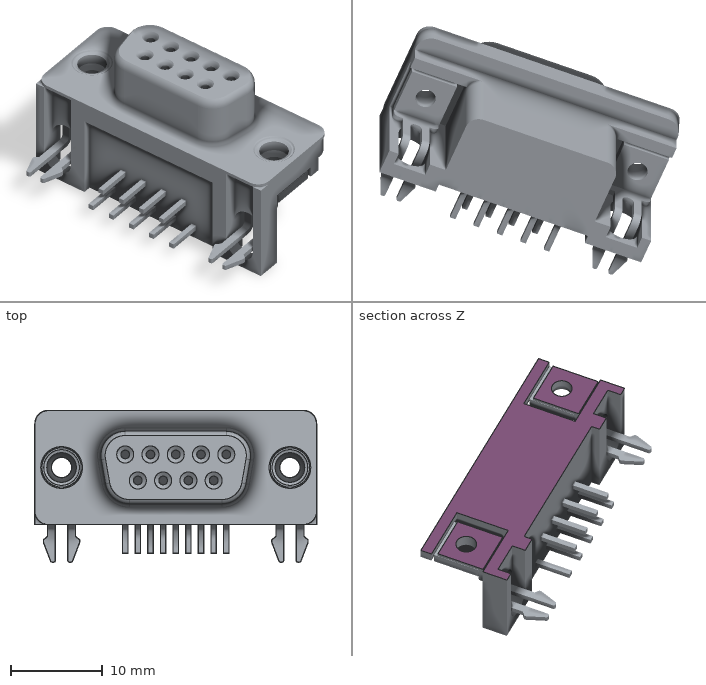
import cadquery as cq
import math


FLANGE_LENGTH = 30.8
FLANGE_WIDTH = 12.5
FLANGE_THICKNESS = 0.4
FLANGE_CORNER = 1.5
HALF_LENGTH = FLANGE_LENGTH / 2
FRONT_Y = -FLANGE_WIDTH / 2
BACK_Y = FLANGE_WIDTH / 2
BOTTOM_Z = -12.4
RIM_BOTTOM_Z = -2.45
RIM_CORNER = 1.8
WING_BOTTOM_Z = -2.95
WING_BACK_Y = 4.15
WALL_BACK_Y = -3.3
LEG_WIDTH = 1.33
LEG_BOTTOM_Z = -4.25
RECESS_LENGTH = 17.55
BODY_LENGTH = RECESS_LENGTH
BODY_CORNER = 1.5
RECESS_TOP_Z = -2.5
RECESS_DEPTH = 0.95

SHELL_HEIGHT = 6.02
SHELL_HALF_WIDTH = 3.96
SHELL_MID_HALF_LENGTH = 7.98
SHELL_SIDE_ANGLE = 10
SHELL_CORNER = 2.65
SHELL_FOOT_RADIUS = 0.37
SHELL_RIM_RADIUS = 1.25
SHELL_RIM_HEIGHT = 0.97

BACK_ROW_COUNT = 5
FRONT_ROW_COUNT = 4
CONTACT_PITCH = 2.76
CONTACT_ROW_OFFSET = 1.42
CONTACT_MOUTH_RADIUS = 0.93
CONTACT_BORE_RADIUS = 0.47
CONTACT_MOUTH_DEPTH = 0.5
CONTACT_DEPTH = 5.0
PIN_WIDTH = 0.62
PIN_THICKNESS = 0.6
PIN_REACH = 3.12

SCREW_X = 12.47
SCREW_RIM_RADIUS = 2.28
SCREW_LIP_RADIUS = 2.15
SCREW_LIP_DEPTH = 0.1
SCREW_SINK_RADIUS = 1.95
SCREW_BORE_RADIUS = 1.62
SCREW_BORE_TOP_Z = -0.28
SCREW_BORE_BOTTOM_Z = -1.47
SCREW_HOLE_RADIUS = 1.1

GROOVE_WIDTH = 3.68
GROOVE_DEPTH = 1.55
WINDOW_TOP_Z = -5.97
WINDOW_BOTTOM_Z = -11.4

SHEET = 0.58
CLIP_WIDTH = 5.2
NUT_WIDTH = 5.27
CLIP_BACK_Y = 2.25
CLIP_BEND = 0.5
CLIP_SHOULDER_Z = -5.53
CLIP_SHOULDER_RADIUS = 0.6
NUT_BOTTOM_Z = -4.57
FORK_Z = -9.5
FORK_HALF_WIDTH = 1.54
FORK_GAP = 1.33
FORK_SLOT_TOP_Z = -5.95
FORK_BEND = 0.52
BARB_HALF_WIDTH = 2.0
BARB_START = 1.28
BARB_SHOULDER = 1.65
BARB_END = 1.9
PRONG_REACH = 4.1
TIP_WIDTH = 0.5
TIP_ROUND = 0.22


def block(x0, x1, y0, y1, z0, z1):
    """Box between two opposite corners."""
    return cq.Workplane("XY").box(x1 - x0, y1 - y0, z1 - z0, centered=False).translate((x0, y0, z0))


def mirror_pair(shape):
    """The shape together with its mirror image across the YZ plane."""
    return shape.union(shape.mirror("YZ"))


def make_housing():
    flange = block(-HALF_LENGTH, HALF_LENGTH, FRONT_Y, BACK_Y, -FLANGE_THICKNESS, 0)
    flange = flange.edges("|Z").fillet(FLANGE_CORNER)
    rim = block(-HALF_LENGTH, HALF_LENGTH, FRONT_Y, BACK_Y, RIM_BOTTOM_Z, -FLANGE_THICKNESS)
    rim = rim.edges("|Z and >Y").fillet(RIM_CORNER)
    wings = block(-HALF_LENGTH, HALF_LENGTH, FRONT_Y, WING_BACK_Y, WING_BOTTOM_Z, RIM_BOTTOM_Z)
    legs = block(-HALF_LENGTH, HALF_LENGTH, FRONT_Y, WALL_BACK_Y, BOTTOM_Z, WING_BOTTOM_Z)
    back_rail = block(
        -HALF_LENGTH, HALF_LENGTH, WING_BACK_Y - LEG_WIDTH, WING_BACK_Y, LEG_BOTTOM_Z, WING_BOTTOM_Z
    )
    body = block(-BODY_LENGTH / 2, BODY_LENGTH / 2, WALL_BACK_Y, WING_BACK_Y, BOTTOM_Z, WING_BOTTOM_Z)
    body = body.edges("|Z and >Y").fillet(BODY_CORNER)
    recess = block(
        -RECESS_LENGTH / 2, RECESS_LENGTH / 2, FRONT_Y, FRONT_Y + RECESS_DEPTH, BOTTOM_Z, RECESS_TOP_Z
    )
    return flange.union(rim).union(wings).union(legs).union(back_rail).union(body).cut(recess)


def shell_outline():
    """D outline: a trapezoid, wide side at +Y, to be extruded and rounded."""
    flare = SHELL_HALF_WIDTH * math.tan(math.radians(SHELL_SIDE_ANGLE))
    wide = SHELL_MID_HALF_LENGTH + flare
    narrow = SHELL_MID_HALF_LENGTH - flare
    corners = [
        (-wide, SHELL_HALF_WIDTH),
        (wide, SHELL_HALF_WIDTH),
        (narrow, -SHELL_HALF_WIDTH),
        (-narrow, -SHELL_HALF_WIDTH),
    ]
    return cq.Workplane("XY").polyline(corners).close()


def add_shell(housing):
    """Add the D shell; its rim rounding is cut off flat before it turns fully level."""
    rounded_height = SHELL_HEIGHT - SHELL_RIM_HEIGHT + SHELL_RIM_RADIUS
    shell = shell_outline().extrude(rounded_height).edges("|Z").fillet(SHELL_CORNER)
    shell = shell.faces(">Z").edges().fillet(SHELL_RIM_RADIUS)
    shell = shell.intersect(block(-HALF_LENGTH, HALF_LENGTH, FRONT_Y, BACK_Y, 0, SHELL_HEIGHT))
    joined = housing.union(shell)
    reach_x = SCREW_X - SCREW_RIM_RADIUS
    reach_y = SHELL_HALF_WIDTH + SHELL_FOOT_RADIUS
    foot = cq.selectors.BoxSelector(
        (-reach_x, -reach_y, -FLANGE_THICKNESS / 2), (reach_x, reach_y, FLANGE_THICKNESS / 2)
    )
    return joined.edges(foot).fillet(SHELL_FOOT_RADIUS)


def row_positions(count):
    """X positions of a centred row of contacts."""
    return [(i - (count - 1) / 2) * CONTACT_PITCH for i in range(count)]


def contact_hole(x, y):
    profile = [
        (0, 0),
        (CONTACT_MOUTH_RADIUS, 0),
        (CONTACT_BORE_RADIUS, -CONTACT_MOUTH_DEPTH),
        (CONTACT_BORE_RADIUS, -CONTACT_DEPTH),
        (0, -CONTACT_DEPTH),
    ]
    hole = cq.Workplane("XZ").polyline(profile).close().revolve(360, (0, 0), (0, 1))
    return hole.translate((x, y, SHELL_HEIGHT))


def solder_pin(x, z):
    half_width = PIN_WIDTH / 2
    half_thickness = PIN_THICKNESS / 2
    root_y = FRONT_Y + RECESS_DEPTH
    return block(
        x - half_width, x + half_width, FRONT_Y - PIN_REACH, root_y, z - half_thickness, z + half_thickness
    )


def add_contacts(part):
    """Back-row contacts pair with the pins below the fork height, front-row ones with those above."""
    for count, side in ((BACK_ROW_COUNT, 1), (FRONT_ROW_COUNT, -1)):
        for x in row_positions(count):
            part = part.cut(contact_hole(x, side * CONTACT_ROW_OFFSET))
            part = part.union(solder_pin(x, FORK_Z - side * CONTACT_ROW_OFFSET))
    return part


def lock_window():
    """Round-ended window through the wall, a groove above it in front and one below it behind."""
    radius = GROOVE_WIDTH / 2
    low_z = WINDOW_BOTTOM_Z + radius
    groove_floor_y = FRONT_Y + GROOVE_DEPTH
    window_height = WINDOW_TOP_Z - WINDOW_BOTTOM_Z
    window = (
        cq.Workplane("XZ", origin=(SCREW_X, WALL_BACK_Y, (WINDOW_TOP_Z + WINDOW_BOTTOM_Z) / 2))
        .slot2D(window_height, GROOVE_WIDTH, 90)
        .extrude(WALL_BACK_Y - FRONT_Y)
    )
    groove = block(
        SCREW_X - radius, SCREW_X + radius, FRONT_Y, groove_floor_y, low_z, -FLANGE_THICKNESS
    )
    back_groove = block(
        SCREW_X - radius, SCREW_X + radius, groove_floor_y, WALL_BACK_Y, BOTTOM_Z, low_z
    )
    return window.union(groove).union(back_groove)


def clip_sheet():
    """Sheet strip bent from under the wing, down the front wall."""
    outline = [
        (CLIP_BACK_Y, WING_BOTTOM_Z),
        (WALL_BACK_Y, WING_BOTTOM_Z),
        (WALL_BACK_Y, CLIP_SHOULDER_Z),
        (WALL_BACK_Y + SHEET, CLIP_SHOULDER_Z),
        (WALL_BACK_Y + SHEET, WING_BOTTOM_Z - SHEET),
        (CLIP_BACK_Y, WING_BOTTOM_Z - SHEET),
    ]
    strip = cq.Workplane("YZ").polyline(outline).close().extrude(CLIP_WIDTH / 2, both=True)
    strip = strip.edges("|X and >Z and <Y").fillet(CLIP_BEND)
    return strip.edges("|Y and <Z").fillet(CLIP_SHOULDER_RADIUS)


def clip_fork():
    """Narrow strip that bends forward into two legs, split by a round-topped slot."""
    inner_y = WALL_BACK_Y + SHEET
    top_z = FORK_Z + SHEET / 2
    bottom_z = FORK_Z - SHEET / 2
    bend_z = top_z + FORK_BEND
    bend_y = WALL_BACK_Y - FORK_BEND
    outer_bend = FORK_BEND + SHEET
    diagonal = math.sqrt(0.5)
    strip = (
        cq.Workplane("YZ")
        .moveTo(WALL_BACK_Y, CLIP_SHOULDER_Z)
        .lineTo(WALL_BACK_Y, bend_z)
        .threePointArc((bend_y + FORK_BEND * diagonal, bend_z - FORK_BEND * diagonal), (bend_y, top_z))
        .lineTo(FRONT_Y, top_z)
        .lineTo(FRONT_Y, bottom_z)
        .lineTo(bend_y, bottom_z)
        .threePointArc((bend_y + outer_bend * diagonal, bend_z - outer_bend * diagonal), (inner_y, bend_z))
        .lineTo(inner_y, CLIP_SHOULDER_Z)
        .close()
        .extrude(FORK_HALF_WIDTH, both=True)
    )
    slot_radius = FORK_GAP / 2
    slot_end_z = FORK_SLOT_TOP_Z - slot_radius
    slot = block(-slot_radius, slot_radius, FRONT_Y, inner_y, bottom_z, slot_end_z)
    slot_end = (
        cq.Workplane("XZ", origin=(0, inner_y, slot_end_z)).circle(slot_radius).extrude(inner_y - FRONT_Y)
    )
    return strip.cut(slot).cut(slot_end)


def clip_prong():
    """Barbed tip of the +X leg."""
    inner_x = FORK_GAP / 2
    outline = [
        (inner_x, FRONT_Y),
        (inner_x, FRONT_Y - PRONG_REACH),
        (inner_x + TIP_WIDTH, FRONT_Y - PRONG_REACH),
        (BARB_HALF_WIDTH, FRONT_Y - BARB_END),
        (BARB_HALF_WIDTH, FRONT_Y - BARB_SHOULDER),
        (FORK_HALF_WIDTH, FRONT_Y - BARB_START),
        (FORK_HALF_WIDTH, FRONT_Y),
    ]
    prong = (
        cq.Workplane("XY", origin=(0, 0, FORK_Z)).polyline(outline).close().extrude(SHEET / 2, both=True)
    )
    return prong.edges("|Z and <Y").fillet(TIP_ROUND)


def board_lock():
    half = NUT_WIDTH / 2
    nut = block(-half, half, -half, half, NUT_BOTTOM_Z, WING_BOTTOM_Z - SHEET)
    lock = clip_sheet().union(clip_fork()).union(mirror_pair(clip_prong())).union(nut)
    return lock.translate((SCREW_X, 0, 0))


def screw_hole():
    cone_end_z = SCREW_BORE_BOTTOM_Z - (SCREW_BORE_RADIUS - SCREW_HOLE_RADIUS)
    profile = [
        (0, 0),
        (SCREW_RIM_RADIUS, 0),
        (SCREW_LIP_RADIUS, -SCREW_LIP_DEPTH),
        (SCREW_SINK_RADIUS, -SCREW_LIP_DEPTH),
        (SCREW_BORE_RADIUS, SCREW_BORE_TOP_Z),
        (SCREW_BORE_RADIUS, SCREW_BORE_BOTTOM_Z),
        (SCREW_HOLE_RADIUS, cone_end_z),
        (SCREW_HOLE_RADIUS, NUT_BOTTOM_Z),
        (0, NUT_BOTTOM_Z),
    ]
    hole = cq.Workplane("XZ").polyline(profile).close().revolve(360, (0, 0), (0, 1))
    return hole.translate((SCREW_X, 0, 0))


result = add_shell(make_housing())
result = add_contacts(result)
result = result.cut(mirror_pair(lock_window()))
result = result.union(mirror_pair(board_lock()))
result = result.cut(mirror_pair(screw_hole()))